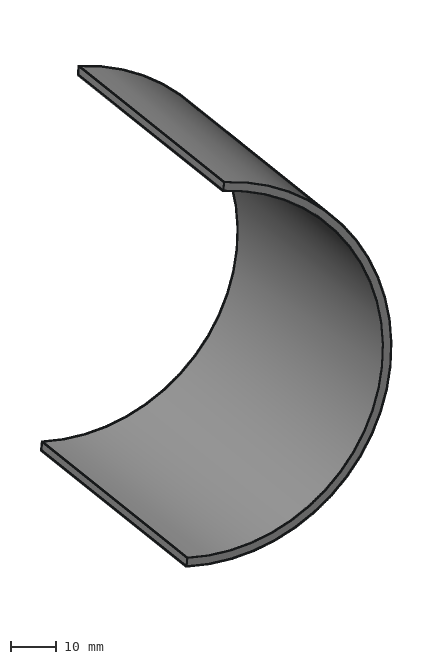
import cadquery as cq
import math

length = 79.9
outer_radius = 44.5
wall = 2.0
lower_angle = 264.2
upper_angle = 84.2
axis_heading = -50.0

inner_radius = outer_radius - wall
middle_angle = (lower_angle - 360 + upper_angle) / 2


def polar(radius, angle):
    """Point on a circle about the shell axis; zero degrees faces outward."""
    turn = math.radians(angle)
    return radius * math.cos(turn), radius * math.sin(turn)


heading = math.radians(axis_heading)
section_plane = cq.Plane(
    origin=(0, 0, 0),
    xDir=(-math.sin(heading), math.cos(heading), 0),
    normal=(math.cos(heading), math.sin(heading), 0),
)

result = (
    cq.Workplane(section_plane)
    .moveTo(*polar(outer_radius, lower_angle))
    .threePointArc(polar(outer_radius, middle_angle), polar(outer_radius, upper_angle))
    .lineTo(*polar(inner_radius, upper_angle))
    .threePointArc(polar(inner_radius, middle_angle), polar(inner_radius, lower_angle))
    .close()
    .extrude(length / 2, both=True)
)